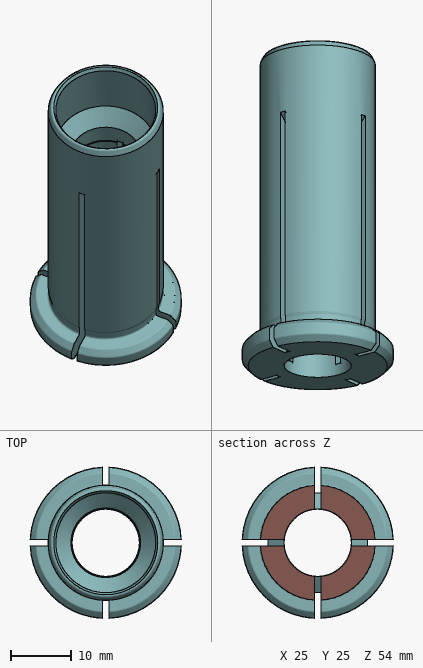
import cadquery as cq

total_height = 54.0

flange_radius = 25.0 / 2
flange_height = 4.0
flange_chamfer = 1.0
flange_edge_round = 0.35

neck_radius = 18.75 / 2
neck_top_z = 5.6
neck_taper_height = 0.5
neck_fillet = 0.35

sleeve_radius = 19.05 / 2
rim_chamfer_width = 0.5
rim_chamfer_height = 1.0
rim_round = 0.4

mouth_radius = 16.5 / 2
mouth_chamfer_width = 0.35
mouth_chamfer_height = 0.6
seat_top_z = 44.0
clearance_radius = 11.5 / 2
grip_radius = 11.11 / 2
grip_top_z = 38.0
seat_height = mouth_radius - clearance_radius

slot_count = 4
slot_width = 1.0
slot_top_z = 42.0
slot_foot_z = 2.0
slot_foot_run = mouth_radius - grip_radius
slot_foot_slope = slot_foot_z / slot_foot_run
slot_reach = flange_radius + 1.0

edge_tolerance = 0.01


def revolve_about_z(profile):
    """Full revolution of a (radius, height) outline about the Z axis."""
    return cq.Workplane("XZ").polyline(profile).close().revolve(360, (0, 0), (0, 1))


def ring_box(reach, height):
    """Selector for edges lying wholly within a thin square slab at the given height."""
    return cq.selectors.BoxSelector(
        (-reach, -reach, height - edge_tolerance),
        (reach, reach, height + edge_tolerance),
        boundingbox=True,
    )


def round_ring(body, radius, height, round_radius):
    """Round the circular edge of the given radius lying at the given height."""
    outer_box = ring_box(radius + edge_tolerance, height)
    inner_box = ring_box(radius - edge_tolerance, height)
    return body.edges(outer_box - inner_box).fillet(round_radius)


def make_outer_body():
    """Solid of revolution with flange, relief neck and sleeve."""
    profile = [
        (0, 0),
        (flange_radius - flange_chamfer, 0),
        (flange_radius, flange_chamfer),
        (flange_radius, flange_height - flange_chamfer),
        (flange_radius - flange_chamfer, flange_height),
        (neck_radius, flange_height),
        (neck_radius, neck_top_z),
        (sleeve_radius, neck_top_z + neck_taper_height),
        (sleeve_radius, total_height - rim_chamfer_height),
        (sleeve_radius - rim_chamfer_width, total_height),
        (0, total_height),
    ]
    body = revolve_about_z(profile)
    body = round_ring(body, flange_radius, flange_chamfer, flange_edge_round)
    body = round_ring(body, flange_radius, flange_height - flange_chamfer, flange_edge_round)
    body = round_ring(body, flange_radius - flange_chamfer, flange_height, flange_edge_round)
    body = round_ring(body, neck_radius, flange_height, neck_fillet)
    return round_ring(body, sleeve_radius - rim_chamfer_width, total_height, rim_round)


def make_bore():
    """Stepped bore running the full height."""
    profile = [
        (0, 0),
        (grip_radius, 0),
        (grip_radius, grip_top_z),
        (clearance_radius, grip_top_z),
        (clearance_radius, seat_top_z - seat_height),
        (mouth_radius, seat_top_z),
        (mouth_radius, total_height - mouth_chamfer_height),
        (mouth_radius + mouth_chamfer_width, total_height),
        (0, total_height),
    ]
    return revolve_about_z(profile)


def make_slot():
    """One radial slot towards +X; its sloped ends draw together towards the bore."""
    top_at_axis = slot_top_z - sleeve_radius
    top_at_reach = top_at_axis + slot_reach
    foot_at_axis = slot_foot_z + grip_radius * slot_foot_slope
    foot_at_reach = foot_at_axis - slot_reach * slot_foot_slope
    profile = [
        (0, foot_at_axis),
        (slot_reach, foot_at_reach),
        (slot_reach, top_at_reach),
        (0, top_at_axis),
    ]
    return cq.Workplane("XZ").polyline(profile).close().extrude(slot_width / 2, both=True)


result = make_outer_body().cut(make_bore())
slot = make_slot()
for index in range(slot_count):
    slot_angle = index * 360 / slot_count
    result = result.cut(slot.rotate((0, 0, 0), (0, 0, 1), slot_angle))